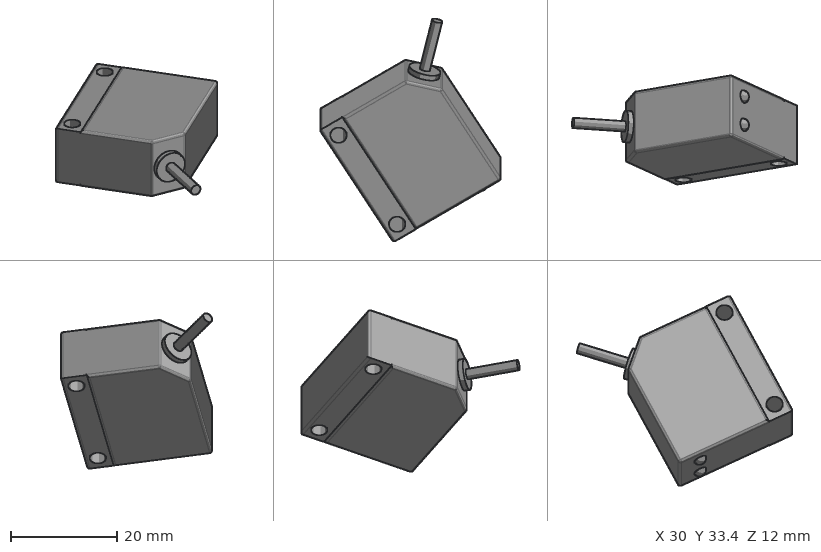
import cadquery as cq
import math

overall_y = 33.35

length_x = 24.02
length_y = 26.42
height = 12.0
corner_cut = 4.97
edge_radius = 0.5

strip_width = 5.0
strip_recess = 0.25
hole_diameter = 3.07
hole_spacing = 21.02
hole_x = 2.57

flange_diameter = 6.0
flange_thickness = 1.0
cable_diameter = 2.0

dome_x = 19.58
dome_radius = 1.25
dome_height = 0.95
dome_spacing = 5.55

cable_reach_y = overall_y - length_y - dome_height + corner_cut / 2
cable_end = cable_reach_y * math.sqrt(2) - cable_diameter / 2


def make_main_block():
    """Full-height block with a cut corner and rounded edges."""
    block = (
        cq.Workplane("XY", origin=(0, 0, -height / 2))
        .moveTo(strip_width, 0)
        .lineTo(length_x - corner_cut, 0)
        .lineTo(length_x, corner_cut)
        .lineTo(length_x, length_y)
        .lineTo(strip_width, length_y)
        .close()
        .extrude(height)
    )
    outer_edges = cq.selectors.BoxSelector(
        (strip_width + edge_radius, -edge_radius, -height),
        (length_x + edge_radius, length_y + edge_radius, height),
    )
    block = block.edges("|Z").edges(outer_edges).fillet(edge_radius)
    block = block.faces("|Z").edges().edges(outer_edges).fillet(edge_radius)

    raised = cq.Workplane("XY", origin=(strip_width, 0, 0)).box(
        length_x, length_y, height, centered=(False, False, True)
    )
    raised = raised.edges("|Y and <X").fillet(edge_radius)
    between_steps = cq.Workplane("XY", origin=(strip_width, 0, 0)).box(
        length_x, length_y, height - 2 * strip_recess, centered=(False, False, True)
    )
    return block.intersect(raised.union(between_steps))


def make_mounting_strip():
    """Thinner strip along -X with two mounting holes, meeting the main block at the step."""
    strip = cq.Workplane("XY").box(
        strip_width, length_y, height - 2 * strip_recess, centered=(False, False, True)
    )
    strip = strip.faces("<X").edges().fillet(edge_radius)
    holes = (
        cq.Workplane("XY", origin=(hole_x, length_y / 2, -height / 2))
        .rarray(0.35, hole_spacing, 1, 2)
        .circle(hole_diameter / 2)
        .extrude(height)
    )
    return strip.cut(holes)


def make_cable():
    """Round flange and cable leaving the middle of the cut corner."""
    cut_middle = (length_x - corner_cut / 2, corner_cut / 2, 0)
    outward = cq.Plane(origin=cut_middle, xDir=(0, 0, 1), normal=(1, -1, 0))
    flange = cq.Workplane(outward).circle(flange_diameter / 2).extrude(flange_thickness)
    cable = cq.Workplane(outward).circle(cable_diameter / 2).extrude(cable_end)
    return flange.union(cable)


def make_dome(z):
    """Spherical cap standing on the +Y side."""
    sphere_radius = (dome_radius**2 + dome_height**2) / (2 * dome_height)
    arc_middle = sphere_radius * math.sin(math.asin(dome_radius / sphere_radius) / 2)
    arc_rise = dome_height - sphere_radius + math.sqrt(sphere_radius**2 - arc_middle**2)
    return (
        cq.Workplane("XY", origin=(dome_x, length_y, z))
        .lineTo(dome_radius, 0)
        .threePointArc((arc_middle, arc_rise), (0, dome_height))
        .close()
        .revolve(360, (0, 0), (0, 1))
    )


result = make_main_block().union(make_mounting_strip()).union(make_cable())
for side in (-1, 1):
    result = result.union(make_dome(side * dome_spacing / 2))